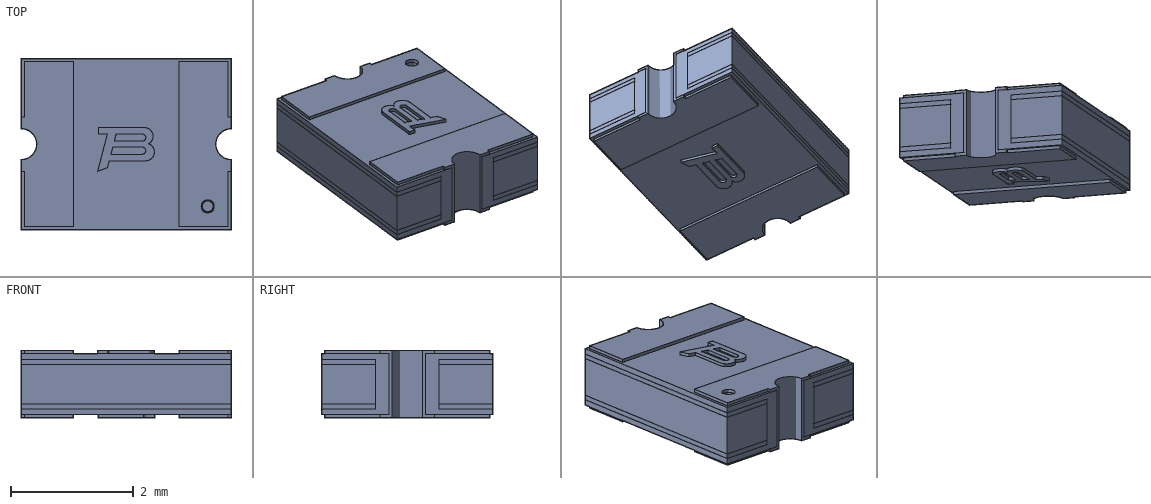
import cadquery as cq

LENGTH = 3.43
WIDTH = 2.8
HEIGHT = 1.1

PAD_THICKNESS = 0.05
COVER_THICKNESS = 0.095
FOIL_THICKNESS = 0.08
BOARD_THICKNESS = HEIGHT - 2 * PAD_THICKNESS
STACK_THICKNESS = BOARD_THICKNESS - 2 * COVER_THICKNESS
CORE_THICKNESS = STACK_THICKNESS - 2 * FOIL_THICKNESS

SLOT_RADIUS = 0.25
BARREL_RADIUS = 0.3
CLEARANCE_RADIUS = 0.52

PAD_MARGIN = 0.05
PAD_REACH = 0.85
TAB_WIDTH = 0.892

INDEX_X = 1.33
INDEX_Y = -1.015
INDEX_TOP_RADIUS = 0.105
INDEX_FLOOR_RADIUS = 0.09
INDEX_DEPTH = PAD_THICKNESS + COVER_THICKNESS

MARK_HALF_HEIGHT = 0.27
MARK_STROKE = 0.105
MARK_LEFT = -0.455
MARK_TIP = (-0.465, -0.442)
MARK_HEEL = (-0.31, -0.385)
STEM_TOP_X = -0.31
STEM_FOOT_X = -0.278
UPPER_LOBE_START_X = 0.3
UPPER_LOBE_MID = (0.44, 0.13)
WAIST = (0.367, 0.007)
LOWER_LOBE_MID = (0.46, -0.13)
LOWER_LOBE_START_X = 0.322
MARK_SLOT_HEIGHT = 0.115
MARK_SLOT_END_X = 0.32
UPPER_SLOT_LEFT_X = -0.165
LOWER_SLOT_LEFT_X = -0.22
SLOT_SLANT = 0.03

ENDS = (-1, 1)
BOARD_TOP = BOARD_THICKNESS / 2


def end_cylinder(end, radius, height):
    """Upright cylinder centred on one end face."""
    return cq.Workplane("XY").center(end * LENGTH / 2, 0).circle(radius).extrude(height / 2, both=True)


def index_hole():
    """Tapered cutter for the index hole."""
    cone = cq.Solid.makeCone(
        INDEX_TOP_RADIUS,
        INDEX_FLOOR_RADIUS,
        INDEX_DEPTH,
        pnt=cq.Vector(INDEX_X, INDEX_Y, HEIGHT / 2),
        dir=cq.Vector(0, 0, -1),
    )
    return cq.Workplane(cone)


def make_layer(thickness, z_middle):
    """Full-size conductive layer, relieved around both barrels."""
    layer = cq.Workplane("XY").box(LENGTH, WIDTH, thickness)
    for end in ENDS:
        layer = layer.cut(end_cylinder(end, CLEARANCE_RADIUS, thickness))
    return layer.translate((0, 0, z_middle))


def make_core():
    return make_layer(CORE_THICKNESS, 0)


def make_foil(side):
    """Foil on the upper (side = 1) or lower (side = -1) face of the core."""
    return make_layer(FOIL_THICKNESS, side * (CORE_THICKNESS + FOIL_THICKNESS) / 2)


def make_insulation():
    """Covers above and below the stack, joined by the filling around each barrel."""
    insulation = cq.Workplane("XY").box(LENGTH, WIDTH, BOARD_THICKNESS)
    insulation = insulation.cut(make_layer(STACK_THICKNESS, 0))
    for end in ENDS:
        insulation = insulation.cut(end_cylinder(end, BARREL_RADIUS, BOARD_THICKNESS))
    return insulation.cut(index_hole())


def make_pad(end, side):
    """Pad on one end of the upper or lower board face, with its tab to the end face."""
    z_middle = side * (BOARD_TOP + PAD_THICKNESS / 2)
    plate_length = PAD_REACH - PAD_MARGIN
    plate_x = end * (LENGTH / 2 - PAD_MARGIN - plate_length / 2)
    plate = cq.Workplane("XY").box(plate_length, WIDTH - 2 * PAD_MARGIN, PAD_THICKNESS)
    tab = cq.Workplane("XY").box(PAD_REACH, TAB_WIDTH, PAD_THICKNESS)
    plate = plate.translate((plate_x, 0, z_middle))
    tab = tab.translate((end * (LENGTH - PAD_REACH) / 2, 0, z_middle))
    return plate.union(tab)


def make_terminal(end):
    """Upper and lower pads joined by the half-round barrel that lines the slot."""
    board_envelope = cq.Workplane("XY").box(LENGTH, WIDTH, BOARD_THICKNESS)
    terminal = end_cylinder(end, BARREL_RADIUS, BOARD_THICKNESS).intersect(board_envelope)
    for side in (-1, 1):
        terminal = terminal.union(make_pad(end, side))
    terminal = terminal.cut(end_cylinder(end, SLOT_RADIUS, HEIGHT))
    return terminal.cut(index_hole())


def mark_slot(left_x, top_y):
    """Cutter for one slot of the marking: slanted left end, round right end."""
    bottom_y = top_y - MARK_SLOT_HEIGHT
    round_start_x = MARK_SLOT_END_X - MARK_SLOT_HEIGHT / 2
    return (
        cq.Workplane("XY", origin=(0, 0, BOARD_TOP))
        .moveTo(left_x, top_y)
        .lineTo(round_start_x, top_y)
        .threePointArc((MARK_SLOT_END_X, (top_y + bottom_y) / 2), (round_start_x, bottom_y))
        .lineTo(left_x - SLOT_SLANT, bottom_y)
        .close()
        .extrude(PAD_THICKNESS)
    )


def make_marking():
    """Raised marking on the upper board face."""
    arm_bottom = MARK_HALF_HEIGHT - MARK_STROKE
    marking = (
        cq.Workplane("XY", origin=(0, 0, BOARD_TOP))
        .moveTo(MARK_LEFT, MARK_HALF_HEIGHT)
        .lineTo(UPPER_LOBE_START_X, MARK_HALF_HEIGHT)
        .threePointArc(UPPER_LOBE_MID, WAIST)
        .threePointArc(LOWER_LOBE_MID, (LOWER_LOBE_START_X, -MARK_HALF_HEIGHT))
        .lineTo(STEM_FOOT_X, -MARK_HALF_HEIGHT)
        .lineTo(*MARK_HEEL)
        .lineTo(*MARK_TIP)
        .lineTo(STEM_TOP_X, arm_bottom)
        .lineTo(MARK_LEFT, arm_bottom)
        .close()
        .extrude(PAD_THICKNESS)
    )
    marking = marking.cut(mark_slot(UPPER_SLOT_LEFT_X, arm_bottom))
    return marking.cut(mark_slot(LOWER_SLOT_LEFT_X, MARK_SLOT_HEIGHT - arm_bottom))


core = make_core()
foils = [make_foil(side) for side in (-1, 1)]
insulation = make_insulation()
terminals = [make_terminal(end) for end in ENDS]
markings = [make_marking().rotate((0, 0, 0), (0, 1, 0), angle) for angle in (0, 180)]

result = cq.Compound.makeCompound(
    [
        core.val(),
        *[foil.val() for foil in foils],
        insulation.val(),
        *[terminal.val() for terminal in terminals],
        *[marking.val() for marking in markings],
    ]
)